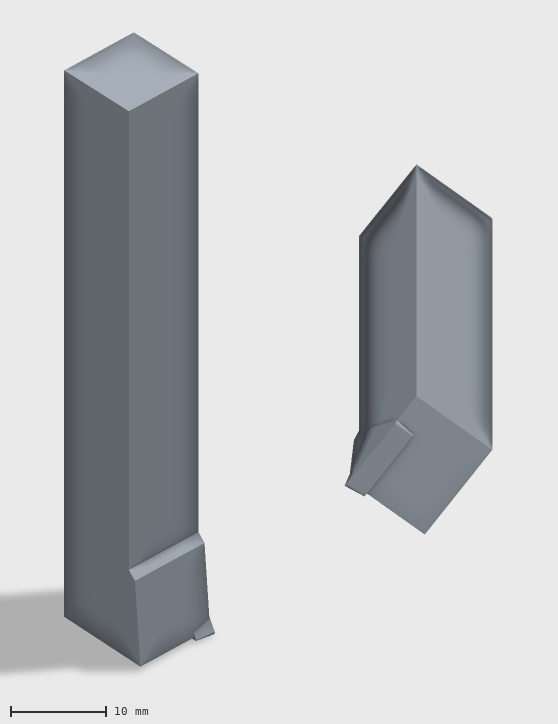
import cadquery as cq
import math

total_width = 12.35
total_height = 71.35

shank_size = 9.9
shank_bottom = 0.8
shoulder_top = 12.1
shoulder_bottom = 11.2
shoulder_width = 10.85
head_width = 11.7
approach_tilt = 1.0

inscribed_radius = 2.8
nose_radius = 0.4
insert_thickness = 2.35
relief_angle = 7.0
insert_proud = 0.1

nose_x = total_width - nose_radius
nose_z = nose_radius
nose_to_center = 2 * (inscribed_radius - nose_radius)
center_angle = math.radians(150 - approach_tilt)
center_x = nose_x + nose_to_center * math.cos(center_angle)
center_z = nose_z + nose_to_center * math.sin(center_angle)


def make_insert():
    """Triangle with its large face toward +Y and flanks narrowing toward -Y."""
    corner_distance = 2 * inscribed_radius
    corners = []
    for angle in (90, 210, 330):
        turn = math.radians(angle - approach_tilt)
        corners.append((corner_distance * math.cos(turn), corner_distance * math.sin(turn)))
    outline = cq.Sketch().polygon(corners + corners[:1]).vertices().fillet(nose_radius)
    face_plane = cq.Workplane("XZ", origin=(center_x, shank_size + insert_proud, center_z))
    return face_plane.placeSketch(outline).extrude(insert_thickness, taper=relief_angle)


def make_holder(insert):
    """Shank and head in one profile, with a pocket that seats the insert."""
    head_bottom = shank_bottom - head_width * math.tan(math.radians(approach_tilt))
    profile = [
        (0, shank_bottom),
        (head_width, head_bottom),
        (shoulder_width, shoulder_bottom),
        (shank_size, shoulder_top),
        (shank_size, total_height),
        (0, total_height),
    ]
    body = cq.Workplane("XZ").polyline(profile).close().extrude(-shank_size)
    return body.cut(insert)


insert = make_insert()
holder = make_holder(insert)

result = cq.Compound.makeCompound([holder.val(), insert.val()])